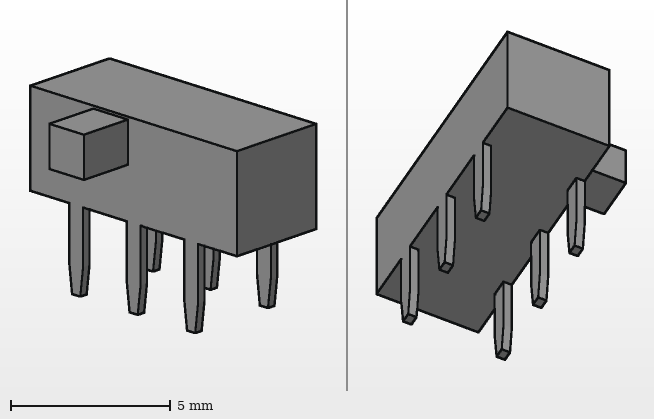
import cadquery as cq

body_length = 9.0
body_depth = 3.6
body_height = 3.5

slider_side = 1.5
slider_reach = 2.0
slider_offset = -1.0
slider_top_gap = 0.1

pin_pitch = 2.5
pins_per_row = 3
pin_width = 0.6
pin_tip_width = 0.36
pin_thickness = 0.3
pin_length = 3.0
pin_taper_length = 1.0


def make_body():
    return cq.Workplane("XY").box(body_length, body_depth, body_height, centered=(True, True, False))


def make_slider():
    slider_bottom = body_height - slider_top_gap - slider_side
    return (
        cq.Workplane("XY")
        .box(slider_side, slider_reach, slider_side, centered=(True, False, False))
        .translate((slider_offset, -body_depth / 2 - slider_reach, slider_bottom))
    )


def make_pin(x, y_center):
    half_width = pin_width / 2
    half_tip = pin_tip_width / 2
    taper_start = pin_taper_length - pin_length
    outline = [
        (-half_width, 0),
        (half_width, 0),
        (half_width, taper_start),
        (half_tip, -pin_length),
        (-half_tip, -pin_length),
        (-half_width, taper_start),
    ]
    return (
        cq.Workplane("XZ")
        .polyline(outline)
        .close()
        .extrude(pin_thickness / 2, both=True)
        .translate((x, y_center, 0))
    )


result = make_body().union(make_slider())

row_y = (body_depth - pin_thickness) / 2
for side in (-1, 1):
    for index in range(pins_per_row):
        pin_x = (index - (pins_per_row - 1) / 2) * pin_pitch
        result = result.union(make_pin(pin_x, side * row_y))